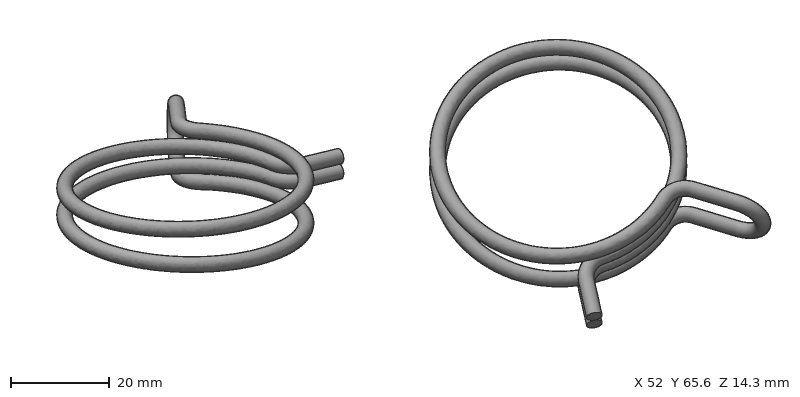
import cadquery as cq
import math

wire_dia = 3.2
coil_outer_dia = 52.05
overall_depth = 65.6
overall_height = 14.3

end_angle = 20.0
arm_tilt = 30.0
bend_radius = 5.0
free_end_length = 8.3
free_end_z = 1.65

wire_radius = wire_dia / 2
coil_radius = (coil_outer_dia - wire_dia) / 2
u_radius = (overall_height - wire_dia) / 2
coil_sweep = 360 + 2 * end_angle
coil_rise = u_radius - free_end_z
bend_sweep = 90 + end_angle - arm_tilt


def polar(radius, angle):
    """XY offset at an angle in degrees from +Y, positive towards +X."""
    return cq.Vector(radius * math.sin(math.radians(angle)), radius * math.cos(math.radians(angle)))


def wire_section(center, normal):
    return cq.Workplane(cq.Plane(center, (0, 0, 1), normal)).circle(wire_radius)


def make_coil():
    """Just over one turn, rising from the free end to the U-bend arm."""
    helix = cq.Wire.makeHelix(coil_rise * 360 / coil_sweep, coil_rise, coil_radius)
    coil = wire_section((coil_radius, 0, 0), (0, 1, 0)).sweep(cq.Workplane(helix), isFrenet=True)
    return coil.rotate((0, 0, 0), (0, 0, 1), 90 - end_angle).translate((0, 0, free_end_z))


def bend_points(side, z):
    """Start, middle and end of the bend that turns the wire outwards; side is +1 towards +X."""
    level = cq.Vector(0, 0, z)
    center = polar(coil_radius + bend_radius, side * end_angle) + level
    angles = [side * (end_angle + 180 + turn) for turn in (0, -bend_sweep / 2, -bend_sweep)]
    return [center + polar(bend_radius, angle) for angle in angles]


def make_leg(side, z, length):
    """Bend leaving the coil, followed by a straight length."""
    start, middle, end = bend_points(side, z)
    tip = end + polar(length, side * arm_tilt)
    path = cq.Workplane().add(cq.Wire.assembleEdges(
        [cq.Edge.makeThreePointArc(start, middle, end), cq.Edge.makeLine(end, tip)]
    ))
    return wire_section(start, polar(1, side * (end_angle + 90))).sweep(path)


def make_half_u_bend(start):
    """Quarter turn from the end of the arm down to the plane of symmetry."""
    outward = polar(1, -arm_tilt)
    center = start - cq.Vector(0, 0, u_radius)
    middle = center + (outward + cq.Vector(0, 0, 1)).normalized() * u_radius
    end = center + outward * u_radius
    path = cq.Workplane().add(cq.Wire.assembleEdges([cq.Edge.makeThreePointArc(start, middle, end)]))
    return wire_section(start, outward).sweep(path)


arm_end_y = overall_depth - coil_outer_dia / 2 - wire_radius - polar(u_radius, arm_tilt).y
bend_end = bend_points(-1, u_radius)[-1]
arm_length = (arm_end_y - bend_end.y) / math.cos(math.radians(arm_tilt))
arm_end = bend_end + polar(arm_length, -arm_tilt)

upper_half = (
    make_coil()
    .union(make_leg(1, free_end_z, free_end_length))
    .union(make_leg(-1, u_radius, arm_length))
    .union(make_half_u_bend(arm_end))
)
result = upper_half.union(upper_half.mirror("XY"))